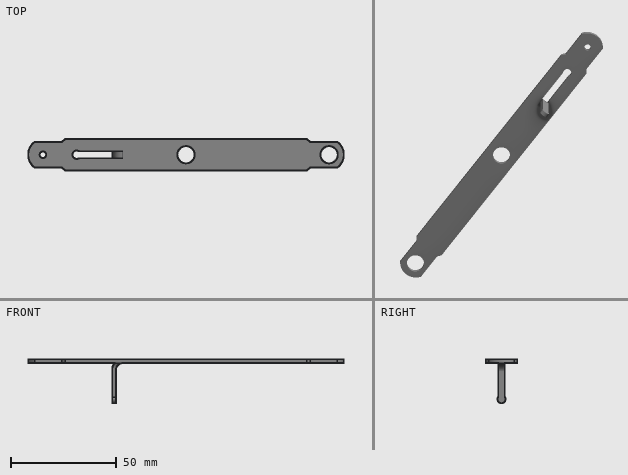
import cadquery as cq
import math

length = 150.0
width = 15.0
thickness = 2.0
end_width = 12.3
end_radius = 7.5
shoulder_x = 57.3
shoulder_run = 1.6

hole_x = 68.0
large_hole_diameter = 8.1
pin_hole_diameter = 3.0

tongue_width = 3.3
tongue_tip_radius = 2.0
tongue_drop = 21.0
bend_end_x = -30.2
bend_inner_radius = 3.0
slot_tip_x = -51.9

bend_outer_radius = bend_inner_radius + thickness
tongue_outer_x = bend_end_x - bend_outer_radius


def make_plate():
    """Flat bar with narrowed, rounded ends and sloping shoulders."""
    half_length = length / 2
    half_width = width / 2
    half_end = end_width / 2
    arc_depth = end_radius - math.sqrt(end_radius**2 - half_end**2)
    corner_x = half_length - arc_depth
    neck_x = shoulder_x + shoulder_run

    return (
        cq.Workplane("XY")
        .moveTo(-shoulder_x, half_width)
        .lineTo(shoulder_x, half_width)
        .lineTo(neck_x, half_end)
        .lineTo(corner_x, half_end)
        .threePointArc((half_length, 0), (corner_x, -half_end))
        .lineTo(neck_x, -half_end)
        .lineTo(shoulder_x, -half_width)
        .lineTo(-shoulder_x, -half_width)
        .lineTo(-neck_x, -half_end)
        .lineTo(-corner_x, -half_end)
        .threePointArc((-half_length, 0), (-corner_x, half_end))
        .lineTo(-neck_x, half_end)
        .close()
        .extrude(-thickness)
    )


def make_hole(x, diameter):
    return cq.Workplane("XY").center(x, 0).circle(diameter / 2).extrude(-thickness)


def make_slot():
    """Opening left by the tongue: a straight slot with a wider round end."""
    slot_length = bend_end_x - slot_tip_x
    straight = (
        cq.Workplane("XY")
        .center(slot_tip_x + slot_length / 2, 0)
        .rect(slot_length, tongue_width)
        .extrude(-thickness)
    )
    return straight.union(make_hole(slot_tip_x, 2 * tongue_tip_radius))


def make_tongue():
    """Quarter bend, straight leg and round tip."""
    tip_z = tongue_tip_radius - tongue_drop
    inner_x = tongue_outer_x + thickness
    diagonal = math.sqrt(0.5)
    outer_middle = (bend_end_x - bend_outer_radius * diagonal, bend_outer_radius * (diagonal - 1))
    inner_middle = (
        bend_end_x - bend_inner_radius * diagonal,
        bend_inner_radius * diagonal - bend_outer_radius,
    )
    strip = (
        cq.Workplane("XZ")
        .moveTo(bend_end_x, 0)
        .threePointArc(outer_middle, (tongue_outer_x, -bend_outer_radius))
        .lineTo(tongue_outer_x, tip_z)
        .lineTo(inner_x, tip_z)
        .lineTo(inner_x, -bend_outer_radius)
        .threePointArc(inner_middle, (bend_end_x, -thickness))
        .close()
        .extrude(tongue_width / 2, both=True)
    )
    tip = (
        cq.Workplane("YZ", origin=(tongue_outer_x, 0, tip_z))
        .circle(tongue_tip_radius)
        .extrude(thickness)
    )
    return strip.union(tip)


plate = make_plate().cut(make_slot())
plate = plate.cut(make_hole(-hole_x, pin_hole_diameter))
for large_hole_x in (0, hole_x):
    plate = plate.cut(make_hole(large_hole_x, large_hole_diameter))

result = plate.union(make_tongue())